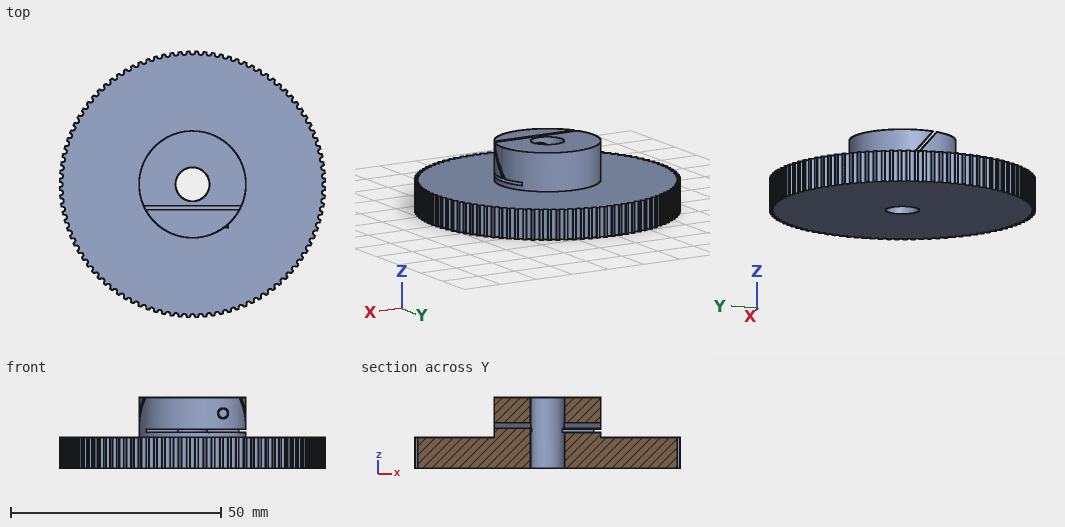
import cadquery as cq
import math

outer_radius = 31.6
disc_height = 7.4
tooth_count = 100
groove_mouth = 1.3
groove_depth = 0.75
groove_bottom_radius = 0.555

total_height = 16.9
hub_radius = 12.7
bore_diameter = 8.0

cut_width = 0.75
flat_cut_bottom = 8.5
flat_cut_angle = 30.0
slant_cut_angle = 50.0
slant_cut_top_y = -5.55
slant_cut_depth = 8.1

screw_radius = 1.25
screw_chamfer = 0.2
screw_x = 7.25
screw_z = 13.1
screw_end_y = -10.35
screw_length = 12.65


def toothed_disc():
    """Disc outline: at each pitch a rounded groove with straight flanks, then a tooth tip."""
    pitch = 2 * math.pi / tooth_count
    half_mouth_angle = math.asin(groove_mouth / 2 / outer_radius)
    bottom_arc_depth = groove_depth - groove_bottom_radius

    def rim_point(angle):
        return (outer_radius * math.cos(angle), outer_radius * math.sin(angle))

    def groove_point(angle, depth, sideways):
        """Point below the rim at a groove's centre line, shifted across the groove."""
        radial = outer_radius - depth
        x = radial * math.cos(angle) - sideways * math.sin(angle)
        y = radial * math.sin(angle) + sideways * math.cos(angle)
        return (x, y)

    outline = cq.Workplane("XY").moveTo(*rim_point(-half_mouth_angle))
    for tooth in range(tooth_count):
        angle = tooth * pitch
        outline = (
            outline.lineTo(*groove_point(angle, bottom_arc_depth, -groove_bottom_radius))
            .threePointArc(
                groove_point(angle, groove_depth, 0),
                groove_point(angle, bottom_arc_depth, groove_bottom_radius),
            )
            .lineTo(*rim_point(angle + half_mouth_angle))
            .threePointArc(rim_point(angle + pitch / 2), rim_point(angle + pitch - half_mouth_angle))
        )
    return outline.close().extrude(disc_height)


def hub():
    return cq.Workplane("XY").circle(hub_radius).extrude(total_height)


def bore():
    return cq.Workplane("XY").circle(bore_diameter / 2).extrude(total_height)


def flat_cut():
    """Horizontal cut through the half of the hub on one side of the axis."""
    hub_diameter = 2 * hub_radius
    return (
        cq.Workplane("XY")
        .box(2 * hub_diameter, hub_diameter, cut_width, centered=(True, False, False))
        .translate((0, -hub_diameter, flat_cut_bottom))
        .rotate((0, 0, 0), (0, 0, 1), flat_cut_angle)
    )


def slant_cut():
    """Sloping cut, running the full width along X and open at the hub's top."""
    angle = math.radians(slant_cut_angle)
    length = slant_cut_depth / math.sin(angle)
    return (
        cq.Workplane("XY")
        .box(2 * hub_radius, 2 * length, cut_width)
        .rotate((0, 0, 0), (1, 0, 0), -slant_cut_angle)
        .translate((0, slant_cut_top_y, total_height))
    )


def screw_hole():
    """Hole from outside the hub, as deep as the screw's inner end."""
    return (
        cq.Workplane("XZ", origin=(screw_x, -hub_radius, screw_z))
        .circle(screw_radius)
        .extrude(-(screw_end_y + screw_length + hub_radius))
    )


def screw():
    return (
        cq.Workplane("XZ", origin=(screw_x, screw_end_y, screw_z))
        .circle(screw_radius)
        .extrude(-screw_length)
        .faces("<Y")
        .chamfer(screw_chamfer)
    )


pulley = toothed_disc().union(hub())
pulley = pulley.cut(bore()).cut(flat_cut()).cut(slant_cut()).cut(screw_hole())
result = pulley.union(screw())